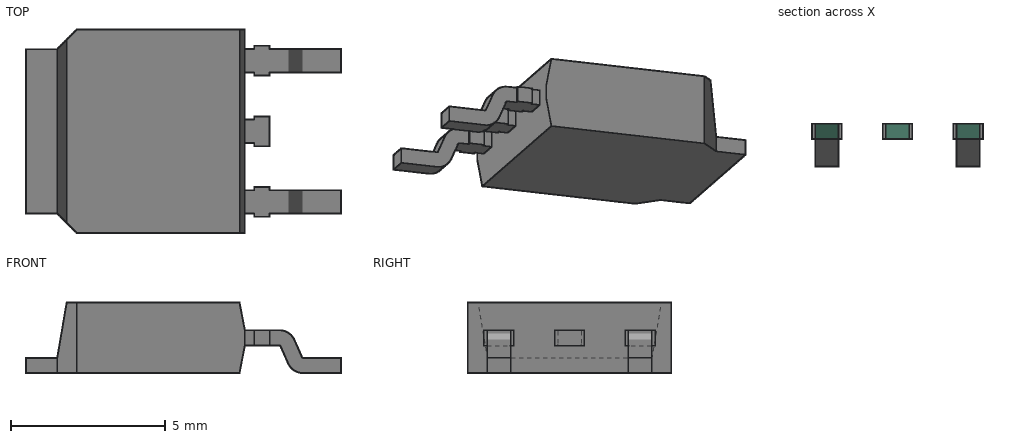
import cadquery as cq
import math

overall_length = 10.2
overall_width = 6.6
overall_height = 2.3

metal_thickness = 0.5

tab_length = 1.01
tab_width = 5.32

front_slope_run = 0.31
rear_edge_x = 7.09
rear_slope_run = 0.17
corner_chamfer = (overall_width - tab_width) / 2

lead_pitch = 2.28
lead_width = 0.76
lead_underside_z = 0.9
lead_top_z = lead_underside_z + metal_thickness
shoulder_width = 0.97
shoulder_start_x = 7.38
shoulder_end_x = 7.88
upper_bend_x = 8.2
lower_bend_x = 8.98
inner_bend_radius = 0.04


def plate(start_x, end_x, width, bottom_z):
    """Flat piece of metal centred on Y = 0, standing on bottom_z."""
    return cq.Workplane("XY").box(
        end_x - start_x, width, metal_thickness, centered=(False, True, False)
    ).translate((start_x, 0, bottom_z))


def make_block():
    """Moulded block with sloping ends and chamfered front corners."""
    block = (
        cq.Workplane("XZ")
        .moveTo(tab_length, 0)
        .lineTo(tab_length, metal_thickness)
        .lineTo(tab_length + front_slope_run, overall_height)
        .lineTo(rear_edge_x - rear_slope_run, overall_height)
        .lineTo(rear_edge_x, lead_top_z)
        .lineTo(rear_edge_x, lead_underside_z)
        .lineTo(rear_edge_x - rear_slope_run, 0)
        .close()
        .extrude(overall_width / 2, both=True)
    )
    plan_outline = (
        cq.Workplane("XY")
        .rect(rear_edge_x - tab_length, overall_width)
        .extrude(overall_height)
        .edges("|Z and <X")
        .chamfer(corner_chamfer)
        .translate(((tab_length + rear_edge_x) / 2, 0, 0))
    )
    return block.intersect(plan_outline)


def make_lead_root(end_x):
    """Straight part of a lead, with its wider shoulder, up to end_x."""
    neck = plate(rear_edge_x, end_x, lead_width, lead_underside_z)
    shoulder = plate(shoulder_start_x, shoulder_end_x, shoulder_width, lead_underside_z)
    return neck.union(shoulder)


def make_housing():
    """Block carrying the mounting tab and the cropped centre lead."""
    tab = plate(0, tab_length, tab_width, 0)
    centre_lead = make_lead_root(shoulder_end_x)
    return make_block().union(tab).union(centre_lead)


def make_bent_end():
    """Two bends and the foot; both bends have concentric inner and outer arcs."""
    outer_radius = inner_bend_radius + metal_thickness
    upper_centre_z = lead_underside_z - inner_bend_radius
    lower_centre_z = metal_thickness + inner_bend_radius
    bend_run = lower_bend_x - upper_bend_x
    bend_drop = upper_centre_z - lower_centre_z
    bend_angle = math.atan2(bend_drop, bend_run) + math.asin(
        (outer_radius + inner_bend_radius) / math.hypot(bend_run, bend_drop)
    )

    def upper_bend_point(radius, angle):
        """Point on an arc of the upper bend, at an angle turned from straight up."""
        return (
            upper_bend_x + radius * math.sin(angle),
            upper_centre_z + radius * math.cos(angle),
        )

    def lower_bend_point(radius, angle):
        """Point on an arc of the lower bend, at an angle turned from straight down."""
        return (
            lower_bend_x - radius * math.sin(angle),
            lower_centre_z - radius * math.cos(angle),
        )

    half_angle = bend_angle / 2
    return (
        cq.Workplane("XZ")
        .moveTo(upper_bend_x, lead_underside_z)
        .lineTo(upper_bend_x, lead_top_z)
        .threePointArc(
            upper_bend_point(outer_radius, half_angle),
            upper_bend_point(outer_radius, bend_angle),
        )
        .lineTo(*lower_bend_point(inner_bend_radius, bend_angle))
        .threePointArc(
            lower_bend_point(inner_bend_radius, half_angle),
            (lower_bend_x, metal_thickness),
        )
        .lineTo(overall_length, metal_thickness)
        .lineTo(overall_length, 0)
        .lineTo(lower_bend_x, 0)
        .threePointArc(
            lower_bend_point(outer_radius, half_angle),
            lower_bend_point(outer_radius, bend_angle),
        )
        .lineTo(*upper_bend_point(inner_bend_radius, bend_angle))
        .threePointArc(
            upper_bend_point(inner_bend_radius, half_angle),
            (upper_bend_x, lead_underside_z),
        )
        .close()
        .extrude(lead_width / 2, both=True)
    )


def make_lead(y):
    """Outer lead, butting against the rear face of the housing."""
    return make_lead_root(upper_bend_x).union(make_bent_end()).translate((0, y, 0))


housing = make_housing()
leads = [make_lead(side * lead_pitch) for side in (-1, 1)]

result = cq.Compound.makeCompound([housing.val(), *[lead.val() for lead in leads]])